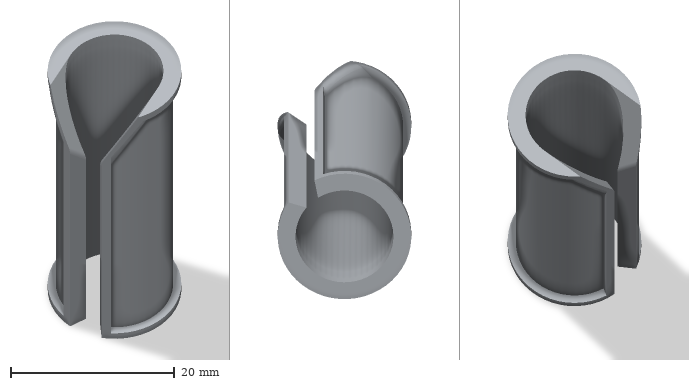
import cadquery as cq
import math

height = 40.0
outer_radius = 8.2
body_radius = 7.2
bore_radius = 6.0
flange_thickness = 1.0

slot_half_width = 0.95
slot_wall_angle = 31.0
throat_half_width = bore_radius
throat_angle = 26.0
throat_round = 1.0

rim_width = 1.1
throat_rim_round = 1.0

reach = 2 * outer_radius


def cylinder(radius, length, base=0):
    return cq.Workplane("XY").workplane(offset=base).circle(radius).extrude(length)


def slot_prism(margin):
    """Slot widening outward, grown sideways by margin normal to its walls."""
    slope = math.tan(math.radians(slot_wall_angle))
    mouth_y = -math.sqrt(bore_radius**2 - slot_half_width**2)
    half = slot_half_width + margin / math.cos(math.radians(slot_wall_angle))
    apex_y = mouth_y + half / slope
    far_half = (apex_y + reach) * slope
    outline = [(0, apex_y), (-far_half, -reach), (far_half, -reach)]
    return cq.Workplane("XY").polyline(outline).close().extrude(height)


def throat_prism(margin):
    """V opening upward through the front wall, grown by margin normal to its walls."""
    slope = math.tan(math.radians(throat_angle))
    half = throat_half_width + margin / math.cos(math.radians(throat_angle))
    outline = [(0, height - half / slope), (half, height), (-half, height)]
    return cq.Workplane("XZ").polyline(outline).close().extrude(reach)


def front_rim():
    """Border of the slot and V, raised from the body to the flange radius."""
    border = slot_prism(rim_width).union(throat_prism(rim_width))
    block = cylinder(outer_radius, height).intersect(border)
    outer_edges = block.faces("not(|X or |Y or |Z)").edges(cq.selectors.BoxSelector(
        (-outer_radius, -outer_radius, height / 2),
        (outer_radius, -body_radius / 2, height - flange_thickness)))
    throat_edges = outer_edges.edges("%BSPLINE or %ELLIPSE")
    return throat_edges.fillet(throat_rim_round).cut(cylinder(body_radius, height))


def opening():
    """Slot and V together, with their two meeting corners rounded."""
    cutter = slot_prism(0).union(throat_prism(0))
    wall_box = cq.selectors.BoxSelector(
        (-reach, -reach, height / 2), (reach, -bore_radius, height - flange_thickness))
    corners = cutter.edges(wall_box).edges("not(|X or |Y or |Z)")
    return corners.fillet(throat_round)


tube = (
    cylinder(body_radius, height)
    .union(cylinder(outer_radius, flange_thickness))
    .union(cylinder(outer_radius, flange_thickness, height - flange_thickness))
    .union(front_rim())
)
result = tube.cut(cylinder(bore_radius, height)).cut(opening())